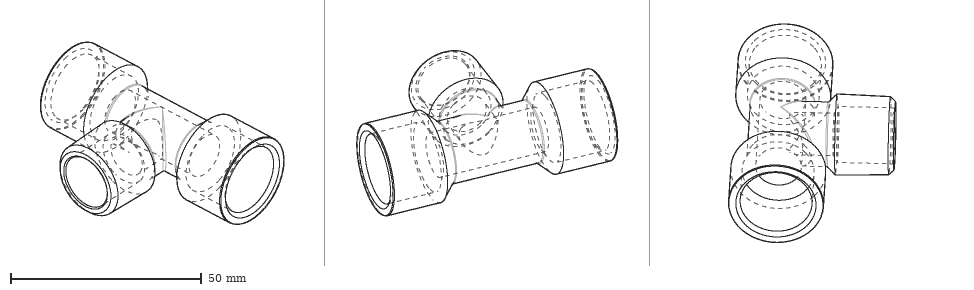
import cadquery as cq
import math

run_half_length = 64.0 / 2
socket_radius = 25.0 / 2
socket_length = 15.5
rim_bevel_length = 0.3
rim_bevel_depth = 0.1
socket_bore_radius = 9.5
socket_bore_depth = 15.0
socket_mouth_chamfer = 1.1
run_bore_radius = 6.0

overall_depth = 42.5
branch_length = overall_depth - socket_radius
shoulder_position = 14.6
spigot_base_radius = 10.7
spigot_tip_radius = 10.3
tip_chamfer_length = 1.35
tip_chamfer_depth = 1.3
spigot_bore_radius = 7.35
spigot_bore_depth = 15.0
spigot_mouth_chamfer = 0.4
branch_bore_radius = 5.6

neck_radius = 8.5
neck_fillet = 0.5
bore_cone_half_angle = 59.0


def revolve_about_x(points):
    """Solid of revolution from (distance along X, radius) points, closed along the axis."""
    axis_points = [(points[-1][0], 0), (points[0][0], 0)]
    return cq.Workplane("XY").polyline(points + axis_points).close().revolve(360, (0, 0), (1, 0))


def bore_profile(end, depth, radius, mouth_chamfer, inner_radius):
    """Stepped bore from the centre out to `end`: through hole, drill cone, wide bore, mouth chamfer."""
    cone_length = (radius - inner_radius) / math.tan(math.radians(bore_cone_half_angle))
    bore_bottom = end - depth
    return [
        (0, inner_radius),
        (bore_bottom - cone_length, inner_radius),
        (bore_bottom, radius),
        (end - mouth_chamfer, radius),
        (end, radius + mouth_chamfer),
    ]


def fillet_neck(body, cone_start):
    """Round the inside corner where the neck meets its 45 degree cone."""
    margin = 0.05
    corner = cq.selectors.BoxSelector(
        (cone_start - margin, -neck_radius - margin, -neck_radius - margin),
        (cone_start + margin, neck_radius + margin, neck_radius + margin),
    )
    return body.edges("%CIRCLE").edges(corner).fillet(neck_fillet)


def make_socket_arm():
    """Half of the run, from the centre to the +X end."""
    socket_start = run_half_length - socket_length
    cone_start = socket_start - (socket_radius - neck_radius)
    body = revolve_about_x([
        (0, neck_radius),
        (cone_start, neck_radius),
        (socket_start, socket_radius),
        (run_half_length - rim_bevel_length, socket_radius),
        (run_half_length, socket_radius - rim_bevel_depth),
    ])
    return fillet_neck(body, cone_start)


def make_spigot_arm():
    """Branch body, built along +X."""
    cone_start = shoulder_position - (spigot_base_radius - neck_radius)
    body = revolve_about_x([
        (0, neck_radius),
        (cone_start, neck_radius),
        (shoulder_position, spigot_base_radius),
        (branch_length - tip_chamfer_length, spigot_tip_radius),
        (branch_length, spigot_tip_radius - tip_chamfer_depth),
    ])
    return fillet_neck(body, cone_start)


def turn_to_branch(body):
    """Swing a body built along +X round to -Y."""
    return body.rotate((0, 0, 0), (0, 0, 1), -90)


def fillet_crotch(body):
    """Round the two curved seams where the equal necks of run and branch meet."""
    seam_reach = neck_radius + 0.05
    crotch = cq.selectors.BoxSelector(
        (-seam_reach, -seam_reach, -seam_reach),
        (seam_reach, 0, seam_reach),
    )
    return body.edges("not(%CIRCLE or %LINE)").edges(crotch).fillet(neck_fillet)


socket_arm = make_socket_arm()
run = socket_arm.union(socket_arm.mirror("YZ")).clean()
branch = turn_to_branch(make_spigot_arm())
tee = fillet_crotch(run.union(branch))

socket_bore = revolve_about_x(bore_profile(
    run_half_length, socket_bore_depth, socket_bore_radius, socket_mouth_chamfer, run_bore_radius,
))
branch_bore = turn_to_branch(revolve_about_x(bore_profile(
    branch_length, spigot_bore_depth, spigot_bore_radius, spigot_mouth_chamfer, branch_bore_radius,
)))
result = tee.cut(socket_bore).cut(socket_bore.mirror("YZ")).cut(branch_bore)